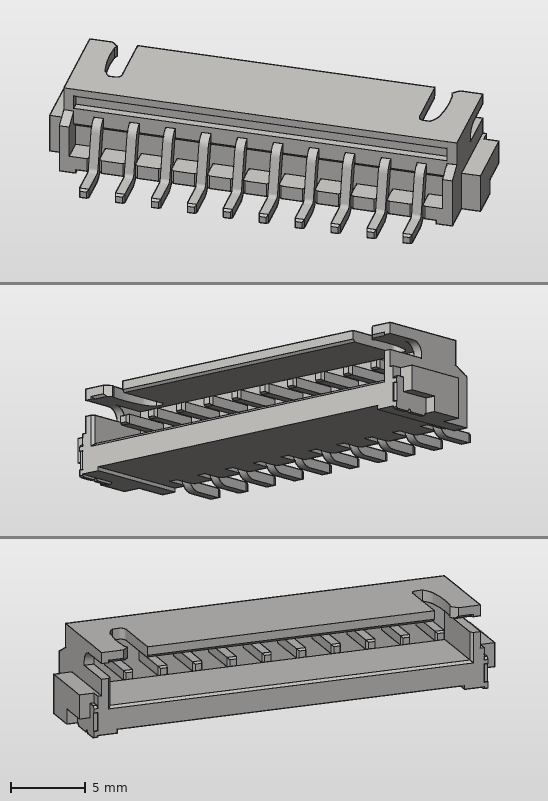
import cadquery as cq
import math


body_half = 13.68
body_top = 6.03
body_bottom = 0.18
top_depth = 6.63
body_depth = 7.77
cheek_top = 4.32
cheek_front_top = 3.72
cheek_thickness = 0.7
inner_half = body_half - cheek_thickness

cavity_top = 5.25
cavity_bottom = 2.15
cavity_depth = 4.8
mouth_chamfer = 0.18

bay_top = 3.33
bay_wall_top = 2.95
bay_wall_depth = 6.15
shelf_top = 1.45
groove_top = 5.5
groove_bottom = 4.53
groove_depth = 0.57

relief_half = 12.55
relief_top = 0.45

pin_count = 10
row_length = 22.5
pitch = row_length / (pin_count - 1)
pin_size = 0.65
pin_top = 4.08
pin_tip_depth = 1.08
foot_end_depth = 10.6
upper_bend_radius = 1.0
lower_bend_radius = 0.3
upper_bend_depth = 6.45
pin_lean = 14.5
tip_length = 0.27
tip_inset = 0.1
notch_flare = 0.18

key_slot_inner = 10.35
key_slot_hook_tip = (11.65, 0.45)
key_slot_hook_root = (11.75, 0.72)
key_slot_bow = (11.82, 1.8)
key_slot_bow_end = (11.65, 3.57)
key_slot_turn = (11.5, 3.93)
key_slot_turn_end = 11.2
key_slot_depth = 4.35
key_slot_corner = 0.4
key_slot_mouth = 12.1

side_slot_bottom = 4.15
side_slot_depth = 3.18
side_slot_radius = 0.87

tab_half = 15.0
tab_top = 2.97
tab_start_depth = 0.72
tab_end_depth = 5.43
plate_inner = 13.95
plate_outer = 14.22
plate_top = 2.28
plate_foot_top = 1.25
plate_foot_depth = 3.0
plate_chamfer = 0.18
plate_recess = 0.1
plate_recess_bottom = 0.5
plate_recess_top = 1.8
plate_nick_depth = 1.35
plate_nick_size = 0.18

section = cq.Plane(origin=(0, 0, 0), xDir=(0, -1, 0), normal=(-1, 0, 0))


def block(x_min, x_max, depth_min, depth_max, z_min, z_max):
    """Box given by its limits in X, depth and Z."""
    size = (x_max - x_min, depth_max - depth_min, z_max - z_min)
    return cq.Workplane("XY").box(*size, centered=False).translate((x_min, -depth_max, z_min))


def both_ends(shape):
    """The shape together with its mirror image at the other end of the row."""
    return shape.union(shape.mirror("YZ"))


def profile_prism(points, half_width):
    """Prism with a (depth, height) outline, reaching half_width to each side along X."""
    return cq.Workplane(section).polyline(points).close().extrude(half_width, both=True)


def make_shell():
    outline = [
        (0, body_bottom),
        (0, body_top),
        (top_depth, body_top),
        (top_depth, cheek_top),
        (body_depth, cheek_front_top),
        (body_depth, body_bottom),
    ]
    shell = profile_prism(outline, body_half)
    base_flange = block(-plate_inner, -body_half, 0, tab_start_depth, body_bottom, tab_top)
    tab = block(-tab_half, -body_half, tab_start_depth, tab_end_depth, body_bottom, tab_top)
    foot_gap = block(-tab_half, -plate_inner, tab_start_depth, plate_foot_depth, body_bottom, plate_foot_top)
    return shell.union(both_ends(base_flange.union(tab.cut(foot_gap))))


def make_cavity():
    cavity = block(-inner_half, inner_half, 0, cavity_depth, cavity_bottom, cavity_top)
    height = cavity_top - cavity_bottom
    mouth = (
        cq.Workplane("XZ", origin=(0, 0, (cavity_top + cavity_bottom) / 2))
        .rect(2 * (inner_half + mouth_chamfer), height + 2 * mouth_chamfer)
        .workplane(offset=mouth_chamfer)
        .rect(2 * inner_half, height)
        .loft(ruled=True)
    )
    return cavity.union(mouth)


def make_front_bay():
    outline = [
        (top_depth, cheek_top),
        (top_depth, bay_top),
        (bay_wall_depth, bay_wall_top),
        (bay_wall_depth, shelf_top),
        (body_depth, shelf_top),
        (body_depth, cheek_top),
    ]
    groove = block(-inner_half, inner_half, top_depth - groove_depth, top_depth, groove_bottom, groove_top)
    return profile_prism(outline, inner_half).union(groove)


def make_key_slot():
    """Slot at the +X end of the top wall, with a bowed outer side that ends in a hook at the mouth."""
    outline = cq.Plane(origin=(0, 0, cavity_top), xDir=(1, 0, 0), normal=(0, 0, -1))
    return (
        cq.Workplane(outline)
        .moveTo(key_slot_inner, 0)
        .lineTo(key_slot_mouth, 0)
        .lineTo(*key_slot_hook_tip)
        .lineTo(*key_slot_hook_root)
        .threePointArc(key_slot_bow, key_slot_bow_end)
        .threePointArc(key_slot_turn, (key_slot_turn_end, key_slot_depth))
        .lineTo(key_slot_inner + key_slot_corner, key_slot_depth)
        .radiusArc((key_slot_inner, key_slot_depth - key_slot_corner), -key_slot_corner)
        .close()
        .extrude(cavity_top - body_top)
    )


def make_side_slots():
    """Open slots through both side walls, rounded at the upper inner corner."""
    slot = block(-body_half, body_half, 0, side_slot_depth, side_slot_bottom, cavity_top)
    return slot.edges("|X and <Y and >Z").fillet(side_slot_radius)


def make_pin_notch(x):
    """Notch through the shelf, as wide as a pin and flared at its outer edges."""
    half = pin_size / 2
    corners = [
        (x - half, -bay_wall_depth),
        (x - half, -body_depth + notch_flare),
        (x - half - notch_flare, -body_depth),
        (x + half + notch_flare, -body_depth),
        (x + half, -body_depth + notch_flare),
        (x + half, -bay_wall_depth),
    ]
    return cq.Workplane("XY").polyline(corners).close().extrude(shelf_top)


def tapered_tip(x, depth, height, direction):
    """Square pin end that tapers along Y; direction is +1 for +Y and -1 for -Y."""
    plane = cq.Plane(origin=(x, -depth, height), xDir=(1, 0, 0), normal=(0, direction, 0))
    end_size = pin_size - 2 * tip_inset
    return (
        cq.Workplane(plane)
        .rect(pin_size, pin_size)
        .workplane(offset=tip_length)
        .rect(end_size, end_size)
        .loft(ruled=True)
    )


def make_pin(x):
    """Pin that runs from the cavity through the pin wall, bends down and ends in a flat foot."""
    turn = math.radians(90 - pin_lean)

    def on_bend(center, radius, angle):
        """Point on a bend, with the angle measured from straight up towards the foot."""
        return (center[0] + radius * math.sin(angle), center[1] + radius * math.cos(angle))

    upper_inner = upper_bend_radius - pin_size
    lower_outer = lower_bend_radius + pin_size
    upper_center = (upper_bend_depth, pin_top - upper_bend_radius)
    leg_start = on_bend(upper_center, upper_bend_radius, turn)
    leg_end_z = pin_size + lower_bend_radius * (1 - math.cos(turn))
    leg_end_depth = leg_start[0] + (leg_start[1] - leg_end_z) * math.tan(math.radians(pin_lean))
    lower_center = (leg_end_depth + lower_bend_radius * math.sin(turn), lower_outer)

    def lower(radius, angle):
        return on_bend(lower_center, radius, math.pi + angle)

    outline = (
        cq.Workplane(section)
        .moveTo(pin_tip_depth + tip_length, pin_top)
        .lineTo(upper_bend_depth, pin_top)
        .threePointArc(on_bend(upper_center, upper_bend_radius, turn / 2), leg_start)
        .lineTo(*lower(lower_bend_radius, turn))
        .threePointArc(lower(lower_bend_radius, turn / 2), lower(lower_bend_radius, 0))
        .lineTo(foot_end_depth - tip_length, pin_size)
        .lineTo(foot_end_depth - tip_length, 0)
        .lineTo(*lower(lower_outer, 0))
        .threePointArc(lower(lower_outer, turn / 2), lower(lower_outer, turn))
        .lineTo(*on_bend(upper_center, upper_inner, turn))
        .threePointArc(
            on_bend(upper_center, upper_inner, turn / 2),
            on_bend(upper_center, upper_inner, 0),
        )
        .lineTo(pin_tip_depth + tip_length, pin_top - pin_size)
        .close()
    )
    pin = outline.extrude(pin_size / 2, both=True).translate((x, 0, 0))
    mating_tip = tapered_tip(x, pin_tip_depth + tip_length, pin_top - pin_size / 2, 1)
    foot_tip = tapered_tip(x, foot_end_depth - tip_length, pin_size / 2, -1)
    return pin.union(mating_tip).union(foot_tip)


def make_solder_plate():
    """L-shaped plate at the -X end, with a recessed back edge and a nick in its foot."""
    outline = [
        (plate_chamfer, 0),
        (0, plate_recess),
        (0, plate_recess_bottom),
        (plate_recess, plate_recess_bottom),
        (plate_recess, plate_recess_top),
        (0, plate_recess_top),
        (0, plate_top - plate_chamfer),
        (plate_chamfer, plate_top),
        (tab_start_depth, plate_top),
        (tab_start_depth, plate_foot_top),
        (plate_foot_depth, plate_foot_top),
        (plate_foot_depth, plate_chamfer),
        (plate_foot_depth - plate_chamfer, 0),
        (plate_nick_depth + plate_nick_size, 0),
        (plate_nick_depth, plate_nick_size),
        (plate_nick_depth - plate_nick_size, 0),
    ]
    plate = cq.Workplane(section).polyline(outline).close().extrude(plate_outer - plate_inner)
    return plate.translate((-plate_inner, 0, 0))


pin_positions = [(i - (pin_count - 1) / 2) * pitch for i in range(pin_count)]

result = make_shell()
result = result.cut(make_cavity())
result = result.cut(make_front_bay())
result = result.cut(block(-relief_half, relief_half, 0, body_depth, body_bottom, relief_top))
result = result.cut(both_ends(make_key_slot()))
result = result.cut(make_side_slots())
for pin_x in pin_positions:
    result = result.cut(make_pin_notch(pin_x))
for pin_x in pin_positions:
    result = result.union(make_pin(pin_x))
result = result.union(both_ends(make_solder_plate()))